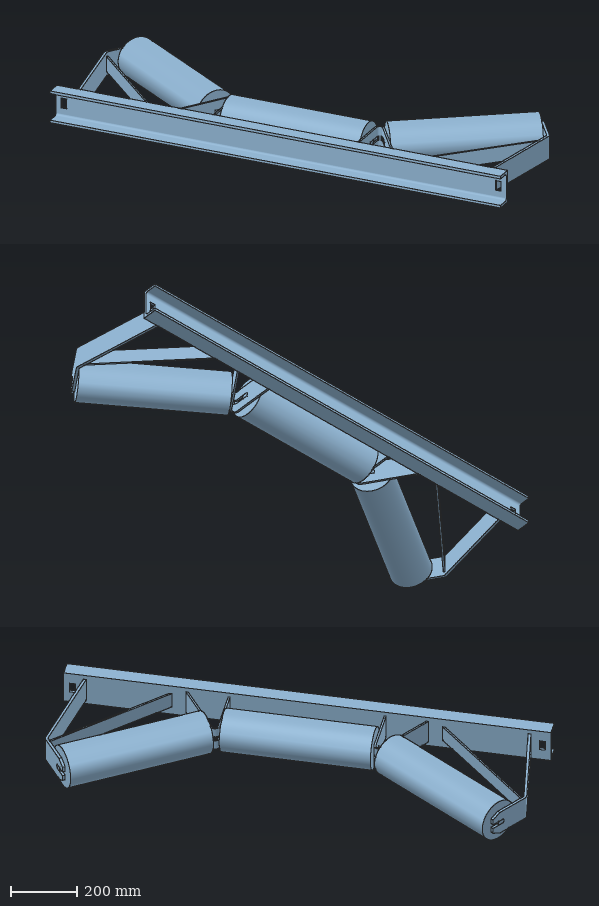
import cadquery as cq
import math


BEAM_LENGTH = 1500.0
BEAM_HEIGHT = 105.0
BEAM_DEPTH = 50.0
WEB_THICKNESS = 9.0
FLANGE_THICKNESS = 9.0
BEAM_ROOT_RADIUS = 8.0
WEB_HOLE_LENGTH = 18.0
WEB_HOLE_HEIGHT = 32.0
WEB_HOLE_INSET = 27.0

ROLLER_DIAMETER = 134.0
ROLLER_LENGTH = 465.0
TROUGH_ANGLE = 34.0
CENTRE_ROLLER_Y = 166.0
OVERALL_DEPTH = 504.0
WING_ROLLER_X = 477.8
SHAFT_DIAMETER = 22.0
SHAFT_FLAT_WIDTH = 14.0
END_GAP = 5.0

PLATE_WIDTH = 76.0
OUTER_THICKNESS = 9.0
OUTER_TIP_HEIGHT = 35.0
OUTER_BEND_DROP = 106.0
OUTER_BEND_RADIUS = 18.0
OUTER_FOOT_X = 688.0
TIP_CHAMFER_ALONG = 28.0
TIP_CHAMFER_ACROSS = 14.0
INNER_THICKNESS = 6.0
INNER_BEND_RADIUS = 15.0
BRACE_WIDTH = 50.0
BRACE_THICKNESS = 6.0
BRACE_FOOT_X = 420.0

half_roller = ROLLER_LENGTH / 2
cos_trough = math.cos(math.radians(TROUGH_ANGLE))
sin_trough = math.sin(math.radians(TROUGH_ANGLE))
wing_roller_y = OVERALL_DEPTH - ROLLER_DIAMETER / 2 * cos_trough - half_roller * sin_trough
plate_face = half_roller + END_GAP
slot_length = 2 * OUTER_BEND_DROP

OUTWARD = (-cos_trough, sin_trough)
UPWARD = (sin_trough, cos_trough)
BEAM_DIRECTION = (1.0, 0.0)


def wing_point(outward, upward):
    """XY point at the given distances from the middle of the left wing roller."""
    x = -WING_ROLLER_X + outward * OUTWARD[0] + upward * UPWARD[0]
    y = wing_roller_y + outward * OUTWARD[1] + upward * UPWARD[1]
    return (x, y)


def meeting_point(start_a, direction_a, start_b, direction_b):
    """XY point where two lines cross."""
    cross = direction_a[0] * direction_b[1] - direction_a[1] * direction_b[0]
    dx = start_b[0] - start_a[0]
    dy = start_b[1] - start_a[1]
    along = (dx * direction_b[1] - dy * direction_b[0]) / cross
    return (start_a[0] + along * direction_a[0], start_a[1] + along * direction_a[1])


def plate(outline, width):
    """Plate with the given XY outline, centred on Z = 0."""
    base = cq.Workplane("XY", origin=(0, 0, -width / 2))
    return base.polyline(outline).close().extrude(width)


def round_bend(body, corner, radius):
    """Round the Z edge that passes through an XY corner."""
    edge = cq.selectors.NearestToPointSelector((corner[0], corner[1], 0))
    return body.edges("|Z").edges(edge).fillet(radius)


def on_wing_roller(body):
    """Move a body modelled along X about the origin to the left wing roller."""
    turned = body.rotate((0, 0, 0), (0, 0, 1), -TROUGH_ANGLE)
    return turned.translate((-WING_ROLLER_X, wing_roller_y, 0))


def on_centre_roller(body):
    """Move a body modelled along X about the origin to the centre roller."""
    return body.translate((0, CENTRE_ROLLER_Y, 0))


def both_sides(body):
    """The left body and its mirror image on the right."""
    return [body.val(), body.mirror("YZ").val()]


def flatted_shaft(length):
    """Round shaft along X with two flats that face along Z."""
    shaft = cq.Workplane("YZ", origin=(-length / 2, 0, 0)).circle(SHAFT_DIAMETER / 2).extrude(length)
    return shaft.intersect(cq.Workplane("XY").box(length, SHAFT_DIAMETER, SHAFT_FLAT_WIDTH))


def shaft_slot():
    """Cutter along X for the open slots that a shaft drops into."""
    length = 2 * (plate_face + OUTER_THICKNESS)
    opening = cq.Workplane("XY").box(length, slot_length, SHAFT_FLAT_WIDTH)
    return flatted_shaft(length).union(opening.translate((0, slot_length / 2, 0)))


def make_beam():
    inside_height = BEAM_HEIGHT - 2 * FLANGE_THICKNESS
    inside_depth = BEAM_DEPTH - WEB_THICKNESS
    blank = cq.Workplane("XY").box(BEAM_LENGTH, BEAM_DEPTH, BEAM_HEIGHT, centered=(True, False, True))
    hollow = cq.Workplane("XY").box(BEAM_LENGTH, inside_depth, inside_height, centered=(True, False, True))
    hollow = hollow.edges("|X and >Y").fillet(BEAM_ROOT_RADIUS)
    hole_x = BEAM_LENGTH / 2 - WEB_HOLE_INSET
    holes = cq.Workplane("XZ").pushPoints([(-hole_x, 0), (hole_x, 0)])
    holes = holes.rect(WEB_HOLE_LENGTH, WEB_HOLE_HEIGHT).extrude(-BEAM_DEPTH)
    return blank.cut(hollow).cut(holes)


def make_roller(left_plate, right_plate):
    """Roller along X whose shaft ends flush with the plates that carry it."""
    shell = cq.Workplane("YZ", origin=(-half_roller, 0, 0))
    shell = shell.circle(ROLLER_DIAMETER / 2).extrude(ROLLER_LENGTH)
    shaft_length = 2 * plate_face + left_plate + right_plate
    shaft = flatted_shaft(shaft_length).translate(((right_plate - left_plate) / 2, 0, 0))
    return shell.union(shaft)


def make_outer_bracket():
    """Left outer plate: a sloping leg and an arm across the end of the wing roller."""
    outside = plate_face + OUTER_THICKNESS
    tip_inside = wing_point(plate_face, OUTER_TIP_HEIGHT)
    tip_outside = wing_point(outside, OUTER_TIP_HEIGHT)
    bend_outside = wing_point(outside, -OUTER_BEND_DROP)
    foot_outside = (-OUTER_FOOT_X, BEAM_DEPTH)

    leg_x = foot_outside[0] - bend_outside[0]
    leg_y = foot_outside[1] - bend_outside[1]
    leg_direction = (leg_x, leg_y)
    foot_thickness = OUTER_THICKNESS * math.hypot(leg_x, leg_y) / abs(leg_y)
    foot_inside = (foot_outside[0] + foot_thickness, BEAM_DEPTH)
    bend_inside = meeting_point(tip_inside, UPWARD, foot_inside, leg_direction)

    outline = [foot_outside, bend_outside, tip_outside, tip_inside, bend_inside, foot_inside]
    bracket = plate(outline, PLATE_WIDTH)
    bracket = round_bend(bracket, bend_outside, OUTER_BEND_RADIUS)
    bracket = round_bend(bracket, bend_inside, OUTER_BEND_RADIUS - OUTER_THICKNESS)
    bracket = bracket.cut(tip_corners()).cut(on_wing_roller(shaft_slot()))
    return bracket, bend_inside


def tip_corners():
    """Cutter for the two sloping corners at the tip of the left outer bracket."""
    half_width = PLATE_WIDTH / 2
    corner = cq.Workplane("YZ").polyline([
        (OUTER_TIP_HEIGHT, half_width),
        (OUTER_TIP_HEIGHT, half_width - TIP_CHAMFER_ACROSS),
        (OUTER_TIP_HEIGHT - TIP_CHAMFER_ALONG, half_width),
    ]).close().extrude(-plate_face - OUTER_THICKNESS)
    return on_wing_roller(corner.union(corner.mirror("XY")))


def make_inner_bracket():
    """Left inner plate: an upright leg and a leaning leg joined by a bend at the top."""
    upright_face = (-plate_face, CENTRE_ROLLER_Y)
    upright_back = (-plate_face - INNER_THICKNESS, CENTRE_ROLLER_Y)
    leaning_face = wing_point(-plate_face, 0)
    leaning_back = wing_point(-plate_face - INNER_THICKNESS, 0)
    upright = (0.0, 1.0)
    web = (0.0, BEAM_DEPTH)

    bend_outside = meeting_point(upright_face, upright, leaning_face, UPWARD)
    bend_inside = meeting_point(upright_back, upright, leaning_back, UPWARD)
    outline = [
        meeting_point(web, BEAM_DIRECTION, leaning_face, UPWARD),
        bend_outside,
        meeting_point(web, BEAM_DIRECTION, upright_face, upright),
        meeting_point(web, BEAM_DIRECTION, upright_back, upright),
        bend_inside,
        meeting_point(web, BEAM_DIRECTION, leaning_back, UPWARD),
    ]
    bracket = plate(outline, PLATE_WIDTH)
    bracket = round_bend(bracket, bend_outside, INNER_BEND_RADIUS)
    bracket = round_bend(bracket, bend_inside, INNER_BEND_RADIUS - INNER_THICKNESS)
    return bracket.cut(on_wing_roller(shaft_slot())).cut(on_centre_roller(shaft_slot()))


def make_brace(bracket, bend):
    """Left flat strut from the beam to the inside of the outer bracket's bend."""
    run = -BRACE_FOOT_X - bend[0]
    drop = BEAM_DEPTH - bend[1]
    length = math.hypot(run, drop)
    half_foot = BRACE_THICKNESS / 2 * length / abs(drop)
    side_x = -BRACE_THICKNESS / 2 * drop / length
    side_y = BRACE_THICKNESS / 2 * run / length
    outline = [
        (-BRACE_FOOT_X - half_foot, BEAM_DEPTH),
        (-BRACE_FOOT_X + half_foot, BEAM_DEPTH),
        (bend[0] + side_x, bend[1] + side_y),
        (bend[0] - side_x, bend[1] - side_y),
    ]
    return plate(outline, BRACE_WIDTH).cut(bracket)


beam = make_beam()
centre_roller = on_centre_roller(make_roller(INNER_THICKNESS, INNER_THICKNESS))
wing_roller = on_wing_roller(make_roller(OUTER_THICKNESS, INNER_THICKNESS))
outer_bracket, outer_bend = make_outer_bracket()
inner_bracket = make_inner_bracket()
brace = make_brace(outer_bracket, outer_bend)

result = cq.Compound.makeCompound([
    beam.val(),
    centre_roller.val(),
    *both_sides(wing_roller),
    *both_sides(outer_bracket),
    *both_sides(inner_bracket),
    *both_sides(brace),
])